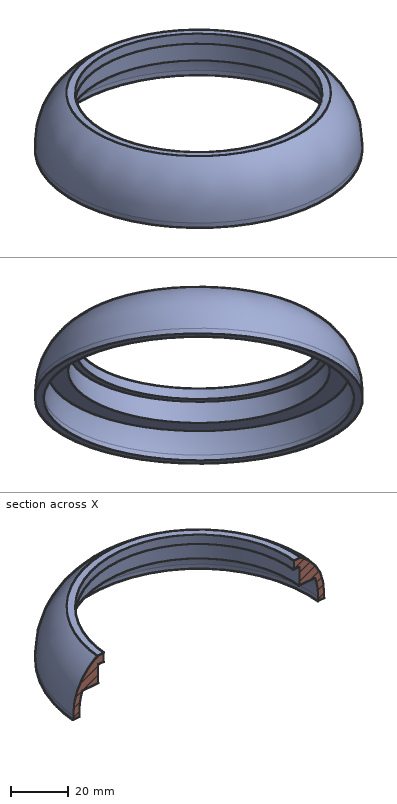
import cadquery as cq

outer_diameter = 114.0
total_height = 22.5
wall = 3.0
skirt_height = 2.0
top_face_diameter = 92.0
opening_diameter = 86.0
seat_diameter = 91.0
lip_thickness = 4.0
seat_depth = 8.0
shoulder_drop = 5.0
shoulder_inset = 5.3
shoulder_start_direction = (0, 1)
shoulder_end_direction = (-1, 0.6)

seat_top = total_height - lip_thickness
seat_bottom = seat_top - seat_depth


def dome(inset):
    """Solid dome: straight skirt, then a shoulder curving in to the flat top, all moved inward by inset."""
    skirt_radius = outer_diameter / 2 - inset
    top_radius = top_face_diameter / 2 - inset
    shoulder_points = [
        (skirt_radius, skirt_height),
        (skirt_radius - shoulder_inset, total_height - shoulder_drop),
        (top_radius, total_height),
    ]
    profile = (
        cq.Workplane("XZ")
        .lineTo(skirt_radius, 0)
        .lineTo(skirt_radius, skirt_height)
        .spline(shoulder_points, tangents=[shoulder_start_direction, shoulder_end_direction])
        .lineTo(0, total_height)
        .close()
    )
    return profile.revolve(360, (0, 0, 0), (0, 1, 0))


def disc(diameter, height):
    """Cylinder about the Z axis, standing on the base plane."""
    return cq.Workplane("XY").circle(diameter / 2).extrude(height)


def lower_cavity():
    """Hollow below the seat ring that leaves an even wall inside the dome."""
    return dome(wall).intersect(disc(outer_diameter, seat_bottom))


opening = disc(opening_diameter, total_height)
seat = disc(seat_diameter, seat_top)

result = dome(0).cut(lower_cavity()).cut(seat).cut(opening)